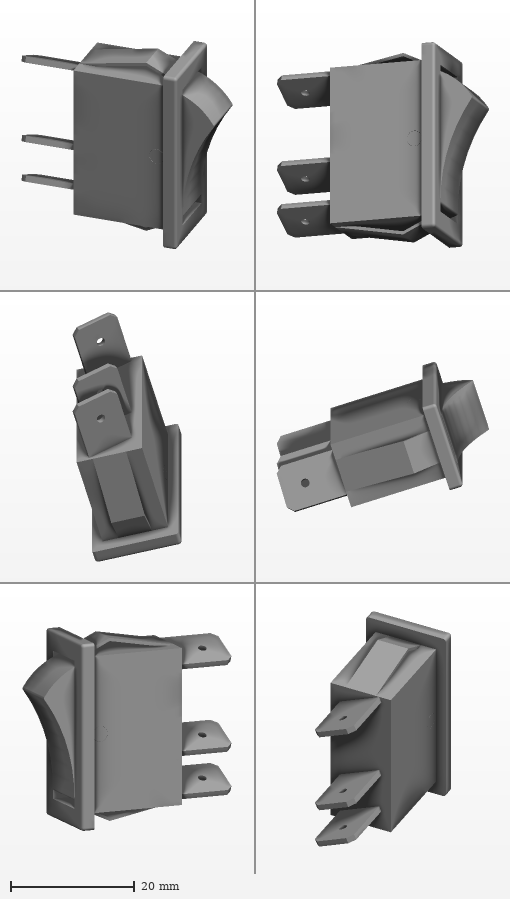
import cadquery as cq
import math


BODY_DEPTH = 16.25
BODY_WIDTH = 11.0
BODY_HEIGHT = 26.05
BEZEL_THICKNESS = 2.27
BEZEL_WIDTH = 14.5
BEZEL_HEIGHT = 31.0
BEZEL_CORNER_RADIUS = 0.55
BEZEL_FRONT_RADIUS = 0.5

CLIP_WIDTH = 5.55
CLIP_PEAK_SETBACK = 4.65
CLIP_PEAK_HEIGHT = 2.17
CLIP_DROP = 0.55

TERMINAL_LENGTH = 10.0
TERMINAL_WIDTH = 7.75
TERMINAL_THICKNESS = 1.0
TERMINAL_CHAMFER = 1.02
TERMINAL_TILT = 23.5
TERMINAL_HEIGHTS = (11.0, -3.4, -10.55)
TERMINAL_HOLE_DIAMETER = 1.42
TERMINAL_HOLE_SETBACK = 4.0

PIN_DIAMETER = 2.5
PIVOT_X = -1.8
CLEARANCE = 0.05
BORE_DIAMETER = PIN_DIAMETER + 2 * CLEARANCE

ROCKER_WIDTH = 8.6
ROCKER_TILT = 17.5
ROCKER_SIDE_RADIUS = 12.0
ROCKER_SIDE_CENTER = -0.75
ROCKER_TIP = 7.15
ROCKER_DISH = 5.65
ROCKER_BACK = -2.05
ROCKER_TIP_RADIUS = 0.4

CAVITY_WIDTH = ROCKER_WIDTH + 2 * CLEARANCE
CAVITY_END_GAP = 0.27
CAVITY_HEIGHT = 2 * (ROCKER_SIDE_RADIUS + CAVITY_END_GAP)
CAVITY_DEPTH = 7.8


def box(x_start, x_end, width, height):
    """Box between two X positions, centred on Y and Z."""
    return (
        cq.Workplane("YZ", origin=(x_start, 0, 0))
        .rect(width, height)
        .extrude(x_end - x_start)
    )


def cross_cylinder(diameter, length):
    """Cylinder along Y on the pivot axis, centred on Y."""
    return cq.Workplane("XZ", origin=(PIVOT_X, 0, 0)).circle(diameter / 2).extrude(length / 2, both=True)


def make_bezel():
    bezel = box(0, BEZEL_THICKNESS, BEZEL_WIDTH, BEZEL_HEIGHT)
    bezel = bezel.edges("|X").fillet(BEZEL_CORNER_RADIUS)
    return bezel.faces(">X").edges().fillet(BEZEL_FRONT_RADIUS)


def make_top_clip():
    """Bent strip rising from the rear edge of the body and falling to the bezel."""
    base = BODY_HEIGHT / 2
    peak = base + CLIP_PEAK_HEIGHT
    rear_inset = CLIP_DROP * (BODY_DEPTH - CLIP_PEAK_SETBACK) / CLIP_PEAK_HEIGHT
    front_inset = CLIP_DROP * CLIP_PEAK_SETBACK / CLIP_PEAK_HEIGHT
    return (
        cq.Workplane("XZ")
        .moveTo(-BODY_DEPTH, base)
        .lineTo(-CLIP_PEAK_SETBACK, peak)
        .lineTo(0, base)
        .lineTo(-front_inset, base)
        .lineTo(-CLIP_PEAK_SETBACK, peak - CLIP_DROP)
        .lineTo(-BODY_DEPTH + rear_inset, base)
        .close()
        .extrude(CLIP_WIDTH / 2, both=True)
    )


def make_terminal(height):
    """Flat blade with a chamfered tip and a round hole, tilted about its own long axis."""
    tip_x = -BODY_DEPTH - TERMINAL_LENGTH
    blade = box(tip_x, -BODY_DEPTH, TERMINAL_WIDTH, TERMINAL_THICKNESS)
    blade = blade.faces("<X").edges("|Z").chamfer(TERMINAL_CHAMFER)
    hole = (
        cq.Workplane("XY", origin=(tip_x + TERMINAL_HOLE_SETBACK, 0, 0))
        .circle(TERMINAL_HOLE_DIAMETER / 2)
        .extrude(TERMINAL_THICKNESS, both=True)
    )
    return blade.cut(hole).rotate((0, 0, 0), (1, 0, 0), -TERMINAL_TILT).translate((0, 0, height))


def make_housing():
    """Body, bezel, clips and terminals as one solid, with the rocker cavity and the pin bore."""
    top_clip = make_top_clip()
    housing = box(-BODY_DEPTH, 0, BODY_WIDTH, BODY_HEIGHT).union(make_bezel())
    housing = housing.union(top_clip).union(top_clip.mirror("XY"))
    for height in TERMINAL_HEIGHTS:
        housing = housing.union(make_terminal(height))
    housing = housing.cut(box(-CAVITY_DEPTH, BEZEL_THICKNESS, CAVITY_WIDTH, CAVITY_HEIGHT))
    return housing.cut(cross_cylinder(BORE_DIAMETER, BODY_WIDTH))


def side_arc_height(along):
    """Distance of the rocker's round side from its symmetry axis."""
    return math.sqrt(ROCKER_SIDE_RADIUS**2 - (along - ROCKER_SIDE_CENTER) ** 2)


def make_rocker():
    """Rocker with round ends and a dished front, bored for the pin and tilted about it."""
    tip_height = side_arc_height(ROCKER_TIP)
    back_height = side_arc_height(ROCKER_BACK)
    side_middle = (ROCKER_TIP + ROCKER_BACK) / 2
    side_height = side_arc_height(side_middle)
    rocker = (
        cq.Workplane("XZ", origin=(PIVOT_X, 0, 0))
        .moveTo(ROCKER_BACK, -back_height)
        .threePointArc((side_middle, -side_height), (ROCKER_TIP, -tip_height))
        .threePointArc((ROCKER_DISH, 0), (ROCKER_TIP, tip_height))
        .threePointArc((side_middle, side_height), (ROCKER_BACK, back_height))
        .close()
        .extrude(ROCKER_WIDTH / 2, both=True)
    )
    rocker = rocker.edges("|Y and >X").fillet(ROCKER_TIP_RADIUS)
    rocker = rocker.cut(cross_cylinder(BORE_DIAMETER, ROCKER_WIDTH))
    return rocker.rotate((PIVOT_X, 0, 0), (PIVOT_X, 1, 0), ROCKER_TILT)


def make_pin():
    """Pivot pin, flush with both sides of the body."""
    return cross_cylinder(PIN_DIAMETER, BODY_WIDTH)


housing = make_housing()
rocker = make_rocker()
pin = make_pin()

result = cq.Compound.makeCompound([housing.val(), rocker.val(), pin.val()])